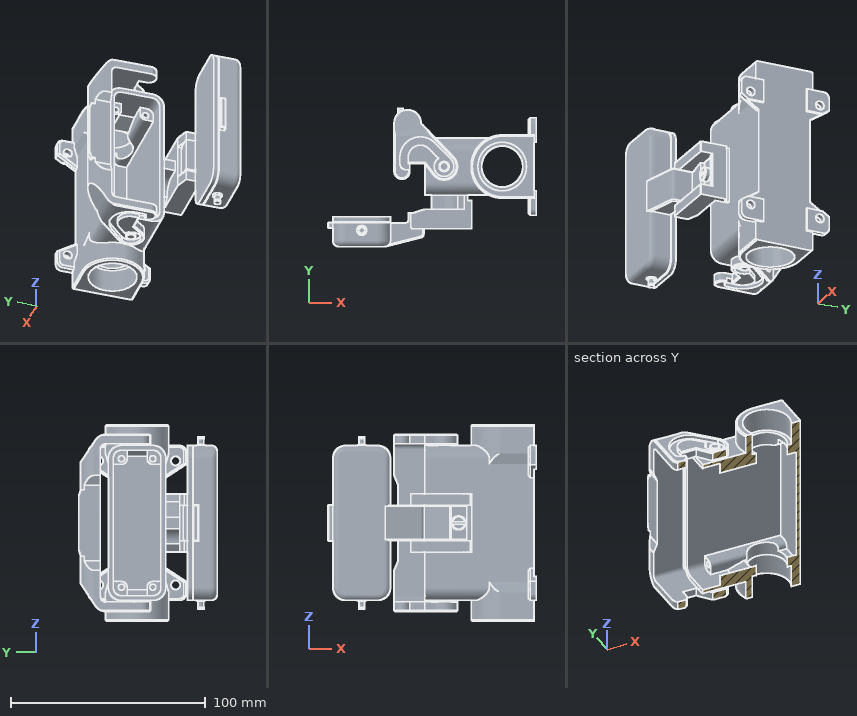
import cadquery as cq
import math

DIAGONAL = math.sqrt(0.5)


BODY_LEFT = -39.7
BODY_RIGHT = 16.4
BODY_HALF_Y = 14.75
BODY_HALF_Z = 39.85
BODY_CORNER = 6.5
WALL = 2.5
EMBED = WALL / 2
CAVITY_END = BODY_RIGHT - WALL
CAVITY_HALF_Y = BODY_HALF_Y - WALL
CAVITY_HALF_Z = BODY_HALF_Z - WALL
CAVITY_CORNER = BODY_CORNER - WALL
RAMP_HEIGHT = 3.1
RAMP_START = -20.0
RAMP_END = -10.5

BOSS_Y = 8.05
BOSS_Z = 33.0
BOSS_RADIUS = 2.9
BOSS_RECESS = 10.0
SCREW_HOLE_RADIUS = 1.6
SCREW_HOLE_DEPTH = 10.0

HUB_CENTER_X = 0.25
HUB_RADIUS = 16.3
HUB_HALF_Z = 50.5
HUB_CHAMFER = 0.7
HUB_FLARE_Z = 35.8
HUB_FLARE_END_Z = 30.4
THREAD_RADIUS = 12.5
THREAD_DEPTH = 12.8
BORE_RADIUS = 10.5

LUG_FRONT = 13.5
LUG_BACK = 17.6
LUG_HALF_Y = 25.1
LUG_ROOT_Z = 23.2
LUG_SHOULDER_Z = 30.0
LUG_CORNER = 3.2
LUG_EDGE = 1.0
LUG_HOLE_Y = 19.8
LUG_HOLE_Z = 31.9
LUG_HOLE_RADIUS = 2.3
PAD_INNER_Y = 12.4
PAD_INNER_Z = 27.5

LEVER_LEFT = -55.65
LEVER_HALF_Z = 45.6
LEVER_INNER_Z = 40.6
LEVER_INNER_FILLET = 2.8
HOOK_RADIUS = 4.1
HOOK_Y = -2.4
HOOK_RIGHT = LEVER_LEFT + 2 * HOOK_RADIUS
BITE_Y = 1.5
BITE_RIGHT = -39.9
PIVOT_X = -29.9
PIVOT_RADIUS = 6.95
LEVER_CHAMFER = 0.6
GRIP_INNER_Y = 18.85
GRIP_CENTER_Y = 22.2
GRIP_RADIUS = 7.0
GRIP_TOP_Y = GRIP_CENTER_Y + GRIP_RADIUS
GRIP_TOP_HALF_Z = 31.0
BEND_START_Y = 15.75
BEND_END_Z = 41.6
RECESS_X = -53.6
RECESS_HALF_Z = 19.5
RECESS_END_HALF_Z = 24.4
TAB_THICKNESS = 2.6
TAB_TAPER = 1.0
TAB_TOP_Y = 30.05
TAB_HALF_Z = 14.0
TAB_BASE_HALF_Z = 17.0

TRACK_DEPTH = 2.3
TRACK_CENTER = (-42.1, 4.8)
TRACK_OUTER_RADIUS = 10.5
TRACK_INNER_RADIUS = 6.2
TRACK_PIVOT_RADIUS = 5.1
TRACK_END_Y = -1.6
TRACK_END_FILLET = 3.0
PIN_RADIUS = 2.6
PIN_CHAMFER = 0.45
PIN_TOP_Z = 45.0
COLLAR_RADIUS = 3.5

BRACKET_LEFT = -47.0
BRACKET_RIGHT = -15.6
BRACKET_HALF_Z = 14.95
BRACKET_FRONT_Y = -32.1
BRACKET_BACK_Y = -21.9
BRACKET_NOSE_Y = -24.2
BRACKET_SLOPE_X = -40.0
BRACKET_CORNER = 1.2
BRACKET_BEVEL_X = 0.9
BRACKET_BEVEL_Y = 0.3
CHANNEL_HALF_Z = 9.2
SEAT_Y = -25.0
SEAT_LEFT = -26.1
SEAT_RIGHT = -18.3
SEAT_STEP = 0.3
PAD_HALF_Z = 8.45
GROOVE_Y = -24.2
GAP_LEFT = -27.0
RAMP_FLOOR_NEAR_Y = -26.8
RAMP_FLOOR_FAR_Y = -25.0
STEM_LEFT = -36.4
STEM_HALF_Z = 2.9
STEM_ARC_LEFT = -30.0
WING_ROOT = -22.9
WING_LEFT = -19.6
WING_HALF_Z = 10.8
WING_RIGHT = -17.7
FOOT_Y = -17.4
SCREW_X = -22.4
SCREW_RADIUS = 3.6
SCREW_HEIGHT = 3.0
SCREW_CHAMFER = 0.4
SLOT_WIDTH = 1.2
SLOT_DEPTH = 0.6

COVER_LEFT = -87.1
COVER_RIGHT = -57.4
COVER_BACK_Y = -25.8
COVER_FRONT_Y = -41.25
COVER_EDGE = 3.1
RIM_Y = -28.5
RIM_GROOVE = 0.3
STUD_X = -72.2
STUD_Y = -32.8
STUD_RADIUS = 1.5
STUD_HEAD_RADIUS = 1.65
STUD_HEAD_LENGTH = 1.0
STUD_BASE_RADIUS = 2.5
STUD_BASE_LENGTH = 0.5
STUD_END_Z = 44.3
OVERALL_X = 107.4
CATCH_LEFT = LUG_BACK - OVERALL_X
CATCH_BACK_Y = -28.7
CATCH_FRONT_Y = -31.7
CATCH_HALF_Z = 9.3
CATCH_CHAMFER = 0.5
TONGUE_BACK_Y = -28.9
TONGUE_LEFT = -60.1
TONGUE_HEEL_X = -48.2
TONGUE_TOP_Y = -23.8
TONGUE_TIP_X = -40.2
TONGUE_TIP_Y = -36.2
TONGUE_TIP_FILLET = 2.2
TONGUE_HEEL_FILLET = 1.5
TONGUE_EDGE = 0.7


def box(x0, x1, y0, y1, z0, z1):
    """Box between two opposite corners."""
    return cq.Workplane("XY").box(x1 - x0, y1 - y0, z1 - z0, centered=False).translate((x0, y0, z0))


def plate_yz(width, height, corner, x0, x1):
    """Rounded plate, centred in Y and Z, running from x0 to x1."""
    plate = cq.Workplane("YZ").workplane(offset=x0).rect(width, height).extrude(x1 - x0)
    return plate.edges("|X").fillet(corner)


def cylinder_z(x, y, radius, z0, z1):
    """Cylinder along Z."""
    return cq.Workplane("XY").workplane(offset=z0).center(x, y).circle(radius).extrude(z1 - z0)


def both_ends(solid):
    """The solid together with its mirror image in Z = 0."""
    return solid.union(solid.mirror("XY"))


def both_sides(solid):
    """The solid together with its mirror image in Y = 0."""
    return solid.union(solid.mirror("XZ"))


def make_hubs():
    """D-shaped entries whose flat sides flare out from the housing walls."""
    hub = (
        cq.Workplane("XY").workplane(offset=-HUB_HALF_Z)
        .moveTo(BODY_RIGHT, HUB_RADIUS).lineTo(HUB_CENTER_X, HUB_RADIUS)
        .threePointArc((HUB_CENTER_X - HUB_RADIUS, 0), (HUB_CENTER_X, -HUB_RADIUS))
        .lineTo(BODY_RIGHT, -HUB_RADIUS).close().extrude(2 * HUB_HALF_Z)
    )
    hub = hub.faces("<Z or >Z").edges("not >X").chamfer(HUB_CHAMFER)
    waist = (
        cq.Workplane("YZ").workplane(offset=-HUB_RADIUS)
        .moveTo(HUB_RADIUS, HUB_FLARE_Z).lineTo(BODY_HALF_Y, HUB_FLARE_END_Z)
        .lineTo(BODY_HALF_Y, -HUB_FLARE_END_Z).lineTo(HUB_RADIUS, -HUB_FLARE_Z)
        .close().extrude(HUB_RADIUS + BODY_RIGHT)
    )
    return hub.cut(both_sides(waist))


def make_cavity():
    """Inside of the housing, with a ramp on the top and bottom walls and four screw bosses."""
    cavity = plate_yz(2 * CAVITY_HALF_Y, 2 * CAVITY_HALF_Z, CAVITY_CORNER, BODY_LEFT, CAVITY_END)
    ramp = (
        cq.Workplane("XZ").workplane(offset=-CAVITY_HALF_Y)
        .moveTo(RAMP_START, CAVITY_HALF_Z)
        .lineTo(RAMP_END, CAVITY_HALF_Z - RAMP_HEIGHT)
        .lineTo(CAVITY_END, CAVITY_HALF_Z - RAMP_HEIGHT)
        .lineTo(CAVITY_END, CAVITY_HALF_Z).close().extrude(2 * CAVITY_HALF_Y)
    )
    boss = box(
        BODY_LEFT + BOSS_RECESS, CAVITY_END,
        BOSS_Y - BOSS_RADIUS, BODY_HALF_Y, BOSS_Z - BOSS_RADIUS, BODY_HALF_Z,
    )
    boss = boss.edges("|X and <Y and <Z").fillet(BOSS_RADIUS)
    return cavity.cut(both_ends(ramp)).cut(both_ends(both_sides(boss)))


def make_bores():
    """Bore through both entries, widened at each mouth for the thread."""
    bore = cylinder_z(0, 0, BORE_RADIUS, -HUB_HALF_Z, HUB_HALF_Z)
    mouth = cylinder_z(0, 0, THREAD_RADIUS, HUB_HALF_Z - THREAD_DEPTH, HUB_HALF_Z)
    return bore.union(both_ends(mouth))


def make_screw_holes():
    start = BODY_LEFT + BOSS_RECESS
    return (
        cq.Workplane("YZ").workplane(offset=start)
        .rect(2 * BOSS_Y, 2 * BOSS_Z, forConstruction=True).vertices()
        .circle(SCREW_HOLE_RADIUS).extrude(SCREW_HOLE_DEPTH)
    )


def make_lugs():
    """Four drilled ears, each with a raised pad on its back."""
    ear = (
        cq.Workplane("YZ").workplane(offset=LUG_FRONT)
        .moveTo(PAD_INNER_Y, BODY_HALF_Z).lineTo(LUG_HALF_Y, BODY_HALF_Z)
        .lineTo(LUG_HALF_Y, LUG_SHOULDER_Z).lineTo(BODY_HALF_Y, LUG_ROOT_Z)
        .lineTo(PAD_INNER_Y, LUG_ROOT_Z).close().extrude(LUG_BACK - LUG_FRONT)
    )
    ear = ear.edges("|X and >Y and >Z").fillet(LUG_CORNER)
    ear = ear.faces("<X").edges("not <Y").chamfer(LUG_EDGE)
    low_back = box(BODY_RIGHT, LUG_BACK, 0, LUG_HALF_Y, 0, PAD_INNER_Z)
    hole = (
        cq.Workplane("YZ").workplane(offset=LUG_FRONT).center(LUG_HOLE_Y, LUG_HOLE_Z)
        .circle(LUG_HOLE_RADIUS).extrude(LUG_BACK - LUG_FRONT)
    )
    return both_ends(both_sides(ear.cut(low_back).cut(hole)))


def make_housing():
    body = plate_yz(2 * BODY_HALF_Y, 2 * BODY_HALF_Z, BODY_CORNER, BODY_LEFT, BODY_RIGHT)
    housing = body.union(make_hubs()).union(make_lugs())
    return housing.cut(make_cavity()).cut(make_bores()).cut(make_screw_holes())


def tangent_point(x, y, center_x, radius):
    """Point where the lower left tangent from (x, y) touches a circle centred on the X axis."""
    toward = math.atan2(y, x - center_x)
    turn = math.acos(radius / math.hypot(x - center_x, y))
    angle = toward + turn
    return (center_x + radius * math.cos(angle), radius * math.sin(angle))


def make_lever_outline():
    """Lever outline as a solid over its full width, with its end faces chamfered."""
    grip_right = LEVER_LEFT + 2 * GRIP_RADIUS
    upper = (PIVOT_X + PIVOT_RADIUS * DIAGONAL, PIVOT_RADIUS * DIAGONAL)
    outline = (
        cq.Workplane("XY").workplane(offset=-LEVER_HALF_Z)
        .moveTo(LEVER_LEFT, HOOK_Y)
        .threePointArc((LEVER_LEFT + HOOK_RADIUS, HOOK_Y - HOOK_RADIUS), (HOOK_RIGHT, HOOK_Y))
        .lineTo(HOOK_RIGHT, BITE_Y).lineTo(BITE_RIGHT, BITE_Y)
        .lineTo(*tangent_point(BITE_RIGHT, BITE_Y, PIVOT_X, PIVOT_RADIUS))
        .threePointArc((PIVOT_X + PIVOT_RADIUS * DIAGONAL, -PIVOT_RADIUS * DIAGONAL), upper)
        .lineTo(grip_right, GRIP_CENTER_Y)
        .threePointArc((LEVER_LEFT + GRIP_RADIUS, GRIP_TOP_Y), (LEVER_LEFT, GRIP_CENTER_Y))
        .close().extrude(2 * LEVER_HALF_Z)
    )
    return outline.faces("<Z or >Z").edges().chamfer(LEVER_CHAMFER)


def make_lever_frame():
    """U-shaped limits of the lever, bent at both outer corners."""
    slope = math.atan2(BEND_END_Z - GRIP_TOP_HALF_Z, GRIP_TOP_Y - GRIP_CENTER_Y)
    start = (BEND_START_Y, LEVER_HALF_Z)
    end = (GRIP_CENTER_Y, BEND_END_Z)
    length = GRIP_RADIUS - LEVER_LEFT
    outer = (
        cq.Workplane("YZ").workplane(offset=LEVER_LEFT)
        .moveTo(-LEVER_HALF_Z, 0).lineTo(-LEVER_HALF_Z, LEVER_HALF_Z).lineTo(*start)
        .spline([end], tangents=[(1, 0), (math.cos(slope), -math.sin(slope))], includeCurrent=True)
        .lineTo(GRIP_TOP_Y, GRIP_TOP_HALF_Z).lineTo(GRIP_TOP_Y, 0).close().extrude(length)
    )
    inner = box(
        LEVER_LEFT, LEVER_LEFT + length, -LEVER_HALF_Z, GRIP_INNER_Y, -LEVER_INNER_Z, LEVER_INNER_Z,
    )
    inner = inner.edges("|X and >Y").fillet(LEVER_INNER_FILLET)
    return both_ends(outer).cut(inner)


def make_grip_recess():
    """Shallow finger recess across the middle of the grip."""
    return (
        cq.Workplane("XZ").workplane(offset=-TAB_TOP_Y)
        .moveTo(LEVER_LEFT, RECESS_END_HALF_Z).lineTo(RECESS_X, RECESS_HALF_Z)
        .lineTo(RECESS_X, -RECESS_HALF_Z).lineTo(LEVER_LEFT, -RECESS_END_HALF_Z)
        .close().extrude(TAB_TOP_Y - GRIP_INNER_Y)
    )


def make_grip_tab():
    """Low tab on top of the grip, tapered at its ends."""
    return (
        cq.Workplane("YZ").workplane(offset=RECESS_X)
        .moveTo(GRIP_CENTER_Y, TAB_BASE_HALF_Z).lineTo(TAB_TOP_Y - TAB_TAPER, TAB_BASE_HALF_Z)
        .lineTo(TAB_TOP_Y, TAB_HALF_Z).lineTo(TAB_TOP_Y, -TAB_HALF_Z)
        .lineTo(TAB_TOP_Y - TAB_TAPER, -TAB_BASE_HALF_Z).lineTo(GRIP_CENTER_Y, -TAB_BASE_HALF_Z)
        .close().extrude(TAB_THICKNESS)
    )


def track_arm(radius, foot):
    """Arm from a foot around the track centre, then down at 45 degrees to the pivot."""
    center_x, center_y = TRACK_CENTER
    end_x = PIVOT_X + radius * DIAGONAL + (center_x + center_y - PIVOT_X) / 2
    return (
        cq.Workplane("XY").workplane(offset=LEVER_HALF_Z - TRACK_DEPTH)
        .polyline(foot).lineTo(center_x - radius, center_y)
        .threePointArc(
            (center_x - radius * DIAGONAL, center_y + radius * DIAGONAL),
            (center_x + radius * DIAGONAL, center_y + radius * DIAGONAL),
        )
        .lineTo(end_x, end_x - PIVOT_X).lineTo(PIVOT_X, 0).close().extrude(TRACK_DEPTH)
    )


def make_track():
    """Sunk track: outer arm plus pivot well, less the island left standing inside it."""
    floor = LEVER_HALF_Z - TRACK_DEPTH
    well = cylinder_z(PIVOT_X, 0, TRACK_PIVOT_RADIUS, floor, LEVER_HALF_Z)
    bite_corner = (HOOK_RIGHT, BITE_Y)
    end_corner = (TRACK_CENTER[0] - TRACK_OUTER_RADIUS, TRACK_END_Y)
    arm = track_arm(TRACK_OUTER_RADIUS, [bite_corner, (HOOK_RIGHT, TRACK_END_Y), end_corner])
    near_end = cq.NearestToPointSelector((*end_corner, floor + TRACK_DEPTH / 2))
    arm = arm.edges(near_end).fillet(TRACK_END_FILLET)
    island = track_arm(TRACK_INNER_RADIUS, [bite_corner, (TRACK_CENTER[0] - TRACK_INNER_RADIUS, BITE_Y)])
    return arm.cut(island).union(well)


def make_pivot():
    """Pivot pin from the housing wall through the lever cheek, with a spacer collar."""
    pin = cylinder_z(PIVOT_X, 0, PIN_RADIUS, CAVITY_HALF_Z + EMBED, PIN_TOP_Z)
    pin = pin.faces(">Z").chamfer(PIN_CHAMFER)
    collar = cylinder_z(PIVOT_X, 0, COLLAR_RADIUS, CAVITY_HALF_Z + EMBED, LEVER_INNER_Z)
    return pin.union(collar)


def make_lever():
    lever = make_lever_outline().intersect(make_lever_frame())
    lever = lever.cut(make_grip_recess()).union(make_grip_tab())
    return lever.cut(both_ends(make_track())).union(both_ends(make_pivot()))


def make_bracket_stem():
    """Web that flares in a concave curve from a narrow nose to two wings."""
    rise = WING_HALF_Z - STEM_HALF_Z
    radius = (rise**2 + (WING_ROOT - STEM_ARC_LEFT)**2) / (2 * rise)
    half_turn = math.atan2(rise, WING_ROOT - STEM_ARC_LEFT)
    middle_x = STEM_ARC_LEFT + radius * math.sin(half_turn)
    middle_z = STEM_HALF_Z + radius * (1 - math.cos(half_turn))
    upper = (
        cq.Workplane("XZ").workplane(offset=BODY_HALF_Y - EMBED)
        .moveTo(STEM_LEFT, 0).lineTo(STEM_LEFT, STEM_HALF_Z).lineTo(STEM_ARC_LEFT, STEM_HALF_Z)
        .threePointArc((middle_x, middle_z), (WING_ROOT, WING_HALF_Z))
        .lineTo(WING_LEFT, BRACKET_HALF_Z).lineTo(WING_RIGHT, BRACKET_HALF_Z)
        .lineTo(WING_RIGHT, 0).close().extrude(EMBED - BODY_HALF_Y - BRACKET_BACK_Y)
    )
    return both_ends(upper)


def make_bracket_fork():
    """Block with a sloped nose and a channel from -X to +X for the tongue.

    Side grooves and a cross gap leave two separate pads on the channel floor.
    """
    block = (
        cq.Workplane("XY").workplane(offset=-BRACKET_HALF_Z)
        .moveTo(BRACKET_LEFT, BRACKET_FRONT_Y)
        .lineTo(BRACKET_RIGHT - BRACKET_BEVEL_X, BRACKET_FRONT_Y)
        .lineTo(BRACKET_RIGHT, BRACKET_FRONT_Y + BRACKET_BEVEL_Y)
        .lineTo(BRACKET_RIGHT, FOOT_Y).lineTo(WING_RIGHT, FOOT_Y).lineTo(WING_LEFT, BRACKET_BACK_Y)
        .lineTo(BRACKET_SLOPE_X, BRACKET_BACK_Y).lineTo(BRACKET_LEFT, BRACKET_NOSE_Y)
        .close().extrude(2 * BRACKET_HALF_Z)
    )
    block = block.edges("|Z and <X and <Y").fillet(BRACKET_CORNER)
    channel = (
        cq.Workplane("XY").workplane(offset=-CHANNEL_HALF_Z)
        .moveTo(BRACKET_LEFT, BRACKET_FRONT_Y).lineTo(BRACKET_RIGHT, BRACKET_FRONT_Y)
        .lineTo(BRACKET_RIGHT, SEAT_Y - SEAT_STEP).lineTo(SEAT_RIGHT, SEAT_Y - SEAT_STEP)
        .lineTo(SEAT_RIGHT, SEAT_Y).lineTo(SEAT_LEFT, SEAT_Y)
        .lineTo(SEAT_LEFT, RAMP_FLOOR_NEAR_Y).lineTo(TONGUE_TIP_X, RAMP_FLOOR_FAR_Y)
        .lineTo(BRACKET_LEFT, RAMP_FLOOR_FAR_Y).close().extrude(2 * CHANNEL_HALF_Z)
    )
    groove = box(TONGUE_TIP_X, SEAT_RIGHT, RAMP_FLOOR_NEAR_Y, GROOVE_Y, PAD_HALF_Z, CHANNEL_HALF_Z)
    gap = box(GAP_LEFT, SEAT_LEFT, RAMP_FLOOR_NEAR_Y, GROOVE_Y, -CHANNEL_HALF_Z, CHANNEL_HALF_Z)
    nose = box(BRACKET_LEFT, TONGUE_TIP_X, SEAT_Y, BRACKET_BACK_Y, -CHANNEL_HALF_Z, CHANNEL_HALF_Z)
    return block.cut(channel).cut(both_ends(groove)).cut(gap).cut(nose)


def make_bracket_screw():
    """Slotted screw head on the channel seat."""
    head = (
        cq.Workplane("XZ").workplane(offset=-SEAT_Y).center(SCREW_X, 0)
        .circle(SCREW_RADIUS).extrude(SCREW_HEIGHT).faces("<Y").chamfer(SCREW_CHAMFER)
    )
    top = SEAT_Y - SCREW_HEIGHT
    slot = box(
        SCREW_X - SCREW_RADIUS, SCREW_X + SCREW_RADIUS, top, top + SLOT_DEPTH,
        -SLOT_WIDTH / 2, SLOT_WIDTH / 2,
    )
    return head.cut(slot)


def make_cover_shell():
    """Rounded cover with a fine groove that sets off its rim."""
    def slab(inset, y0, y1):
        width = COVER_RIGHT - COVER_LEFT - 2 * inset
        middle = (COVER_LEFT + COVER_RIGHT) / 2
        plate = (
            cq.Workplane("XZ").workplane(offset=-y0).center(middle, 0)
            .rect(width, 2 * (BODY_HALF_Z - inset)).extrude(y0 - y1)
        )
        return plate.edges("|Y").fillet(BODY_CORNER - inset)

    front = slab(0, RIM_Y - RIM_GROOVE, COVER_FRONT_Y).faces("<Y").edges().fillet(COVER_EDGE)
    neck = slab(RIM_GROOVE, RIM_Y, RIM_Y - RIM_GROOVE)
    rim = slab(0, COVER_BACK_Y, RIM_Y)
    return front.union(neck).union(rim)


def make_stud():
    """Headed stud on the top end of the cover, standing on a small cone."""
    base = BODY_HALF_Z
    neck = STUD_END_Z - STUD_HEAD_LENGTH
    profile = (
        cq.Workplane("XZ").moveTo(0, base - COVER_EDGE).lineTo(STUD_BASE_RADIUS, base - COVER_EDGE)
        .lineTo(STUD_BASE_RADIUS, base).lineTo(STUD_RADIUS, base + STUD_BASE_LENGTH)
        .lineTo(STUD_RADIUS, neck).lineTo(STUD_HEAD_RADIUS, neck)
        .lineTo(STUD_HEAD_RADIUS, STUD_END_Z).lineTo(0, STUD_END_Z).close()
    )
    return profile.revolve(360, (0, 0, 0), (0, 1, 0)).translate((STUD_X, STUD_Y, 0))


def make_catch():
    """Chamfered catch on the free side of the cover."""
    catch = box(
        CATCH_LEFT, COVER_LEFT + COVER_EDGE, CATCH_FRONT_Y, CATCH_BACK_Y, -CATCH_HALF_Z, CATCH_HALF_Z,
    )
    return catch.faces("<X").edges().chamfer(CATCH_CHAMFER)


def make_tongue():
    """Tongue from the cover into the bracket channel."""
    tongue = (
        cq.Workplane("XY").workplane(offset=-CHANNEL_HALF_Z)
        .moveTo(TONGUE_LEFT, COVER_FRONT_Y).lineTo(TONGUE_LEFT, TONGUE_BACK_Y)
        .lineTo(TONGUE_HEEL_X, TONGUE_BACK_Y).lineTo(TONGUE_HEEL_X, TONGUE_TOP_Y)
        .lineTo(TONGUE_TIP_X, TONGUE_TOP_Y)
        .lineTo(TONGUE_TIP_X, TONGUE_TIP_Y).close().extrude(2 * CHANNEL_HALF_Z)
    )
    tip = cq.NearestToPointSelector((TONGUE_TIP_X, TONGUE_TIP_Y, 0))
    tongue = tongue.edges(tip).fillet(TONGUE_TIP_FILLET)
    heel = cq.NearestToPointSelector((TONGUE_HEEL_X, TONGUE_BACK_Y, 0))
    tongue = tongue.edges(heel).fillet(TONGUE_HEEL_FILLET)
    middle = ((TONGUE_LEFT + TONGUE_TIP_X) / 2, (COVER_FRONT_Y + TONGUE_TIP_Y) / 2)
    for side in (-CHANNEL_HALF_Z, CHANNEL_HALF_Z):
        tongue = tongue.edges(cq.NearestToPointSelector((*middle, side))).chamfer(TONGUE_EDGE)
    return tongue


bracket = make_bracket_stem().union(make_bracket_fork()).union(make_bracket_screw())
cover = make_cover_shell().union(both_ends(make_stud())).union(make_catch()).union(make_tongue())
result = make_housing().union(make_lever()).union(bracket).union(cover)